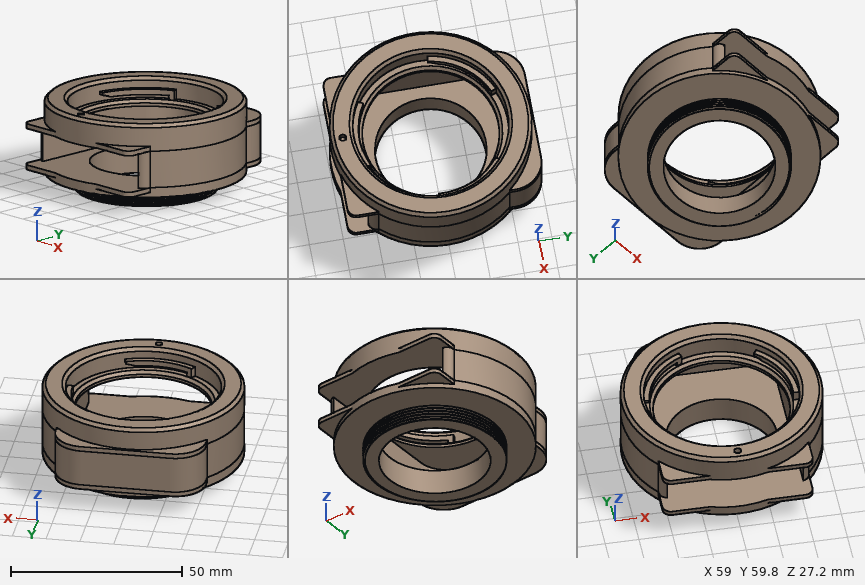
import cadquery as cq
import math

thread_length = 5.1
flange_thickness = 3.0
slot_height = 11.0
mount_thickness = 8.1
floor_z = thread_length + flange_thickness
ceiling_z = floor_z + slot_height
top_z = ceiling_z + mount_thickness

body_radius = 59.0 / 2
tab_half_width = 22.25
tab_front_y = -28.2
tab_back_y = 30.3
tab_thickness = 1.45
front_corner_radius = 2.5
back_corner_radius = 9.0

slot_half_width = 20.15
slot_back_y = 28.3
slot_corner_radius = 8.8
wall_front_y = -22.2

rim_chamfer = 1.0
mount_bore_radius = 45.5 / 2
ledge_inner_radius = 41.88 / 2
throat_radius = 40.0 / 2
ledge_depth = 6.2
index_hole_diameter = 2.0
index_hole_depth = 2.0
index_hole_y = -26.05

claw_inner_radius = 21.1
claw_root_overlap = 0.5
claw_top_depth = 3.25
claw_thickness = 1.65
claw_tip_thickness = 0.8
claw_ramp_angle = 7.0
stop_angle = 4.5
claw_spans = [(-3.7, 53.3), (113.0, 172.3), (238.5, 293.8)]

thread_crest_radius = 41.88 / 2
thread_root_radius = 40.74 / 2
thread_pitch = 1.0
thread_base_width = 0.84
thread_crest_width = 0.1
thread_overlap = 0.1
thread_start_z = -1.05
thread_turns = 7
thread_overrun = 3.0
light_bore_radius = 32.6 / 2


def cylinder(radius, bottom_z, height):
    return cq.Workplane("XY").workplane(offset=bottom_z).circle(radius).extrude(height)


def tab_plate(front_y, bottom_z, height):
    """Rectangular plate with small front corners and large back corners."""
    plate = (
        cq.Workplane("XY")
        .workplane(offset=bottom_z)
        .moveTo(0, (front_y + tab_back_y) / 2)
        .rect(2 * tab_half_width, tab_back_y - front_y)
        .extrude(height)
    )
    plate = plate.edges("|Z and <Y").fillet(front_corner_radius)
    return plate.edges("|Z and >Y").fillet(back_corner_radius)


def ring_sector(inner_radius, outer_radius, start_angle, end_angle, bottom_z, height):
    """Annular block between two angles in degrees."""

    def point(radius, angle):
        return (radius * math.cos(math.radians(angle)), radius * math.sin(math.radians(angle)))

    middle_angle = (start_angle + end_angle) / 2
    return (
        cq.Workplane("XY")
        .workplane(offset=bottom_z)
        .moveTo(*point(inner_radius, start_angle))
        .lineTo(*point(outer_radius, start_angle))
        .threePointArc(point(outer_radius, middle_angle), point(outer_radius, end_angle))
        .lineTo(*point(inner_radius, end_angle))
        .threePointArc(point(inner_radius, middle_angle), point(inner_radius, start_angle))
        .close()
        .extrude(height)
    )


def bayonet_claw(start_angle, end_angle):
    """Claw with a stop down to the ledge at its start and a ramped underside at its tip."""
    outer_radius = mount_bore_radius + claw_root_overlap
    top = top_z - claw_top_depth
    bottom = top - claw_thickness
    ledge = top_z - ledge_depth
    claw = ring_sector(claw_inner_radius, outer_radius, start_angle, end_angle, bottom, claw_thickness)
    stop = ring_sector(
        claw_inner_radius, outer_radius, start_angle, start_angle + stop_angle, ledge, bottom - ledge
    )
    ramp_length = mount_bore_radius * math.radians(claw_ramp_angle)
    ramp_rise = claw_thickness - claw_tip_thickness
    ramp_cut = (
        cq.Workplane("YZ")
        .polyline([(-ramp_length, bottom), (0, bottom), (0, bottom + ramp_rise)])
        .close()
        .extrude(body_radius)
        .rotate((0, 0, 0), (0, 0, 1), end_angle)
    )
    return claw.cut(ramp_cut).union(stop)


def make_mount():
    disc = cylinder(body_radius, ceiling_z, mount_thickness).faces(">Z").edges().chamfer(rim_chamfer)
    mount = disc.union(tab_plate(tab_front_y, ceiling_z, tab_thickness))
    ledge = top_z - ledge_depth
    throat_step = ledge_inner_radius - throat_radius
    bore_profile = [
        (0, ceiling_z),
        (throat_radius, ceiling_z),
        (throat_radius, ledge - throat_step),
        (ledge_inner_radius, ledge),
        (mount_bore_radius, ledge),
        (mount_bore_radius, top_z - rim_chamfer),
        (mount_bore_radius + rim_chamfer, top_z),
        (0, top_z),
    ]
    bore = cq.Workplane("XZ").polyline(bore_profile).close().revolve(360, (0, 0, 0), (0, 1, 0))
    mount = mount.cut(bore)
    for start_angle, end_angle in claw_spans:
        mount = mount.union(bayonet_claw(start_angle, end_angle))
    index_hole = cylinder(index_hole_diameter / 2, top_z - index_hole_depth, index_hole_depth)
    return mount.cut(index_hole.translate((0, index_hole_y, 0)))


def make_spacer():
    """U-shaped wall around the filter slot, with rounded front ends."""
    outline = cylinder(body_radius, floor_z, slot_height)
    outline = outline.union(tab_plate(wall_front_y, floor_z, slot_height))
    slot_front_y = -body_radius
    slot = (
        cq.Workplane("XY")
        .workplane(offset=floor_z)
        .moveTo(0, (slot_front_y + slot_back_y) / 2)
        .rect(2 * slot_half_width, slot_back_y - slot_front_y)
        .extrude(slot_height)
        .edges("|Z and >Y")
        .fillet(slot_corner_radius)
    )
    return outline.cut(slot)


def thread_ridge(start_z, turns):
    """Right-handed helical ridge with a trapezoidal section, its base sunk into the core."""
    base_radius = thread_root_radius - thread_overlap
    section = [
        (base_radius, -thread_base_width / 2),
        (thread_crest_radius, -thread_crest_width / 2),
        (thread_crest_radius, thread_crest_width / 2),
        (base_radius, thread_base_width / 2),
    ]
    rise = turns * thread_pitch
    edges = [
        cq.Wire.makeHelix(thread_pitch, rise, radius, cq.Vector(0, 0, start_z + offset))
        for radius, offset in section
    ]
    flanks = [cq.Face.makeRuledSurface(edge, edges[i - 1]) for i, edge in enumerate(edges)]
    ends = [
        cq.Face.makeFromWires(
            cq.Wire.makePolygon([cq.Vector(radius, 0, end_z + offset) for radius, offset in section], close=True)
        )
        for end_z in (start_z, start_z + rise)
    ]
    return cq.Solid.makeSolid(cq.Shell.makeShell(flanks + ends))


def make_base():
    """Flange and tabs carrying a threaded tube; the thread is cut off square at its free end."""
    base = cylinder(body_radius, thread_length, flange_thickness)
    base = base.union(tab_plate(tab_front_y, floor_z - tab_thickness, tab_thickness))
    core = cylinder(thread_root_radius, -thread_overrun, thread_overrun + thread_length)
    base = base.union(core).union(thread_ridge(thread_start_z, thread_turns))
    base = base.cut(cylinder(body_radius, -thread_overrun, thread_overrun))
    return base.cut(cylinder(light_bore_radius, 0, floor_z))


mount = make_mount()
spacer = make_spacer()
base = make_base()

result = cq.Compound.makeCompound([mount.solids().val(), spacer.solids().val(), base.solids().val()])